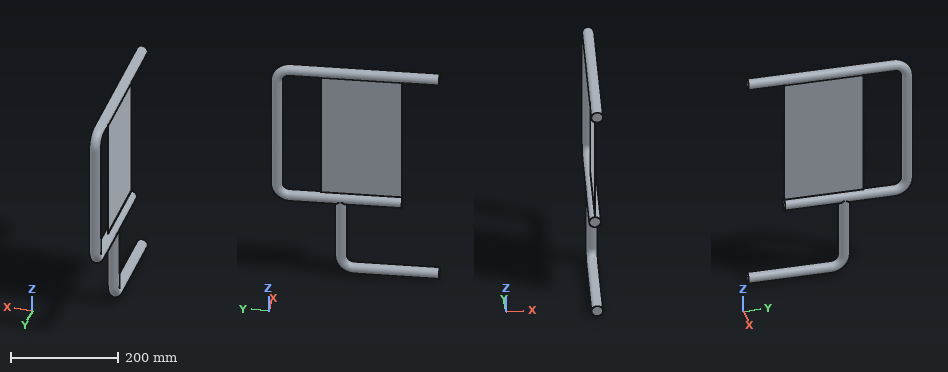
import cadquery as cq

BAR_DIAMETER = 22.2
BAR_RADIUS = BAR_DIAMETER / 2
BEND_RADIUS = 25.0

TOTAL_HEIGHT = 454.0
TOTAL_DEPTH = 316.0

FRAME_TOP_Z = TOTAL_HEIGHT - BAR_RADIUS
FRAME_SPACING = 279.0
FRAME_BOTTOM_Z = FRAME_TOP_Z - FRAME_SPACING
FRAME_BACK_Y = TOTAL_DEPTH - BAR_RADIUS
FRAME_BOTTOM_END_Y = 70.0

PANEL_WIDTH = 152.0
PANEL_HEIGHT = FRAME_SPACING - BAR_DIAMETER
PANEL_THICKNESS = 1.0

ARM_Y = 184.5
ARM_BOTTOM_Z = BAR_RADIUS


def bent_bar(start, corners, end):
    """Sweep the round bar along (y, z) centreline points, with a bend at each corner."""
    points = [cq.Vector(0, y, z) for y, z in [start, *corners, end]]
    centreline = cq.Wire.makePolygon(points)
    bends = centreline.Vertices()[1:-1]
    path = centreline.fillet(BEND_RADIUS, bends)
    start_plane = cq.Plane(origin=points[0], xDir=(1, 0, 0), normal=points[1] - points[0])
    return cq.Workplane(start_plane).circle(BAR_RADIUS).sweep(cq.Workplane(obj=path))


def make_frame():
    """U-shaped bar and L-shaped lower arm, joined where the arm meets the U."""
    u_bar = bent_bar(
        (0, FRAME_TOP_Z),
        [(FRAME_BACK_Y, FRAME_TOP_Z), (FRAME_BACK_Y, FRAME_BOTTOM_Z)],
        (FRAME_BOTTOM_END_Y, FRAME_BOTTOM_Z),
    )
    lower_arm = bent_bar((ARM_Y, FRAME_BOTTOM_Z), [(ARM_Y, ARM_BOTTOM_Z)], (0, ARM_BOTTOM_Z))
    return u_bar.union(lower_arm)


def make_panel():
    """Thin panel that fills the clear height and touches the bars above and below it."""
    panel = cq.Workplane("XY").box(
        PANEL_THICKNESS, PANEL_WIDTH, PANEL_HEIGHT, centered=(True, False, False)
    )
    return panel.translate((0, FRAME_BOTTOM_END_Y, FRAME_BOTTOM_Z + BAR_RADIUS))


frame = make_frame()
panel = make_panel()

result = cq.Compound.makeCompound([frame.val(), panel.val()])